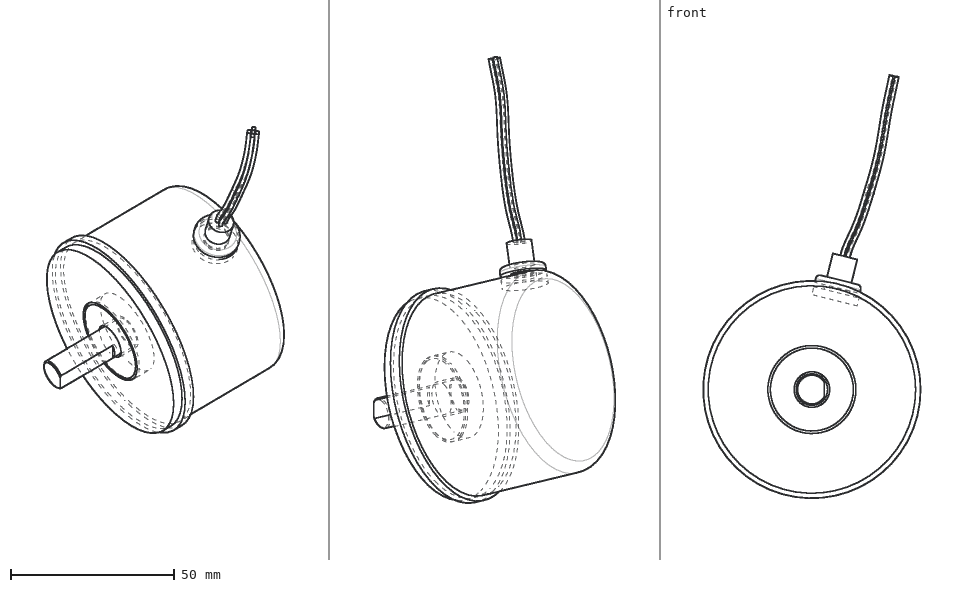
import cadquery as cq
import math


housing_radius = 31.8
housing_length = 44.5
rim_width = 3.2
flange_radius = 33.3
flange_back = 2 * rim_width

hub_radius = 13.5
hub_depth = flange_back
hub_chamfer = 0.8
hub_bore_radius = 5.5

shaft_radius = 4.8
shaft_reach = 22.3
shaft_chamfer = 0.4
flat_distance = 3.8
flat_start = 2.0
flat_length = shaft_reach - flat_start

gland_lean = 14
gland_y = 35.2
gland_collar_radius = 7.1
gland_collar_top = 34.6
gland_collar_height = 2.5
gland_collar_round = 1.3
gland_groove_width = 1.4
gland_tube_radius = 3.9
gland_tube_top = 42.0

wire_radius = 0.61
wire_offset = 0.88
wire_bends = [(13.4, 35.0, 48.6), (17.5, 35.4, 60.6), (20.8, 36.3, 72.6), (22.8, 36.8, 84.7)]
wire_end = (25.2, 35.9, 96.0)

lean = math.radians(gland_lean)
gland_axis = cq.Vector(math.sin(lean), 0, math.cos(lean))


def cylinder_along_y(radius, y_start, y_end):
    """Cylinder about the motor axis between two Y positions."""
    return cq.Workplane("XZ", origin=(0, y_start, 0)).circle(radius).extrude(y_start - y_end)


def gland_plane(distance):
    """Plane across the gland axis at a distance from the motor axis."""
    center = gland_axis * distance + cq.Vector(0, gland_y, 0)
    return cq.Plane(origin=center, xDir=(0, 1, 0), normal=gland_axis)


def make_housing(gland):
    """Can with a rounded rear edge, a front flange, a hub recess and a seat fitting the gland."""
    can = cylinder_along_y(housing_radius, 0, housing_length).faces(">Y").edges().fillet(rim_width)
    flange = cylinder_along_y(flange_radius, rim_width, flange_back)
    hub_recess = cylinder_along_y(hub_radius, 0, hub_depth)
    return can.union(flange).cut(hub_recess).cut(gland)


def make_hub():
    """Disc flush with the front face, chamfered outside, with a clearance bore for the shaft."""
    disc = cylinder_along_y(hub_radius, 0, hub_depth).faces("<Y").edges().chamfer(hub_chamfer)
    return disc.cut(cylinder_along_y(hub_bore_radius, 0, hub_depth))


def make_shaft():
    """Round shaft standing on the floor of the hub recess, with a flat along its outer part."""
    rod = cylinder_along_y(shaft_radius, -shaft_reach, hub_depth).faces("<Y").edges().chamfer(shaft_chamfer)
    flat_cut = cq.Workplane("XY").box(
        shaft_radius, flat_length, 2 * shaft_radius, centered=(False, False, True)
    ).translate((flat_distance, -shaft_reach, 0))
    return rod.cut(flat_cut)


def gland_disc(radius, top, height):
    """Disc on the gland axis, reaching inward from a distance from the motor axis."""
    return cq.Workplane(gland_plane(top)).circle(radius).extrude(-height)


def make_gland():
    """Rounded outer collar and buried inner collar, joined by the tube running through both."""
    top_face = cq.selectors.DirectionMinMaxSelector(gland_axis)
    outer_collar = gland_disc(gland_collar_radius, gland_collar_top, gland_collar_height)
    outer_collar = outer_collar.faces(top_face).edges().fillet(gland_collar_round)
    inner_top = gland_collar_top - gland_collar_height - gland_groove_width
    inner_collar = gland_disc(gland_collar_radius, inner_top, gland_collar_height)
    tube = gland_disc(gland_tube_radius, gland_tube_top, gland_tube_top - inner_top)
    return outer_collar.union(tube).union(inner_collar)


def make_wire(x_offset, y_offset):
    """One lead swept along the bent path that starts square to the end of the gland tube."""
    start_plane = gland_plane(gland_tube_top)
    points = [start_plane.origin, *[cq.Vector(*bend) for bend in wire_bends], cq.Vector(*wire_end)]
    path = cq.Workplane(cq.Edge.makeSpline(points, tangents=[gland_axis, points[-1] - points[-2]]))
    return cq.Workplane(start_plane).center(y_offset, x_offset).circle(wire_radius).sweep(path)


gland = make_gland()
housing = make_housing(gland)
hub = make_hub()
shaft = make_shaft()

wire_places = [(0, 0)]
for x_side in (-1, 1):
    for y_side in (-1, 1):
        wire_places.append((x_side * wire_offset, y_side * wire_offset))
wires = [make_wire(x_offset, y_offset) for x_offset, y_offset in wire_places]

result = cq.Compound.makeCompound(
    [housing.val(), hub.val(), shaft.val(), gland.val(), *[wire.val() for wire in wires]]
)